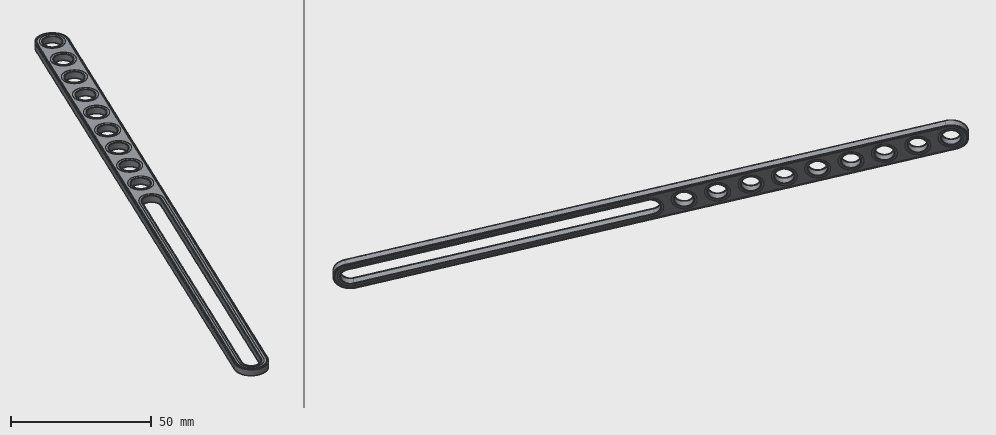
import cadquery as cq

length = 237.5
cell_count = 19
pitch = length / cell_count
width = pitch
thickness = 3.0

hole_count = 9
hole_diameter = 7.0
first_hole_x = pitch / 2
slot_start_x = first_hole_x + hole_count * pitch
slot_end_x = length - pitch / 2

rim_steps = [(0.7, 0.12), (0.5, 0.28)]
opening_steps = [(9.3, 0.1), (7.5, 0.2)]


def round_bar(start_x, end_x, diameter, margin):
    """Round-ended bar between two end centres, stopping a margin short of both faces."""
    spacing = end_x - start_x
    plane = cq.Workplane("XY", origin=((start_x + end_x) / 2, 0, margin))
    if spacing > 0:
        outline = plane.slot2D(spacing + diameter, diameter)
    else:
        outline = plane.circle(diameter / 2)
    return outline.extrude(thickness - 2 * margin)


def make_strip():
    """Strip with full-round ends whose outer edges step inward towards both faces."""
    start_x = width / 2
    end_x = length - width / 2

    core_margin = rim_steps[-1][1]
    strip = round_bar(start_x, end_x, width, core_margin)
    layer_margins = [0] + [depth for _, depth in rim_steps[:-1]]
    for (inset, _), margin in zip(rim_steps, layer_margins):
        strip = strip.union(round_bar(start_x, end_x, width - 2 * inset, margin))
    return strip


def cut_opening(body, start_x, end_x):
    """Through opening with stepped counterbores in both faces."""
    body = body.cut(round_bar(start_x, end_x, hole_diameter, 0))
    for diameter, depth in opening_steps:
        full_bar = round_bar(start_x, end_x, diameter, 0)
        middle = round_bar(start_x, end_x, diameter, depth)
        body = body.cut(full_bar.cut(middle))
    return body


result = make_strip()
for i in range(hole_count):
    hole_x = first_hole_x + i * pitch
    result = cut_opening(result, hole_x, hole_x)
result = cut_opening(result, slot_start_x, slot_end_x).solids()